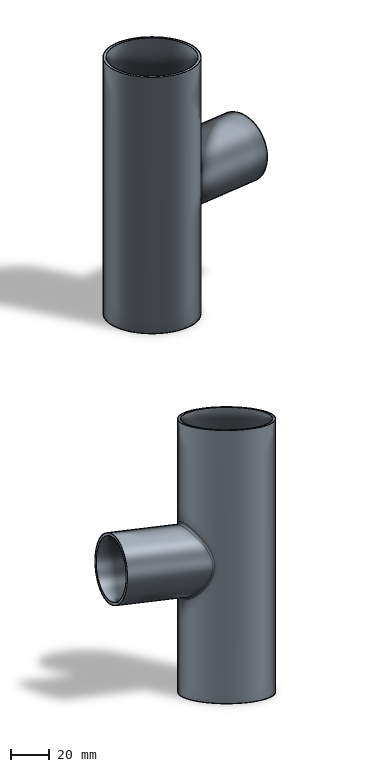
import cadquery as cq

run_length = 146.0
run_diameter = 50.8
wall = 1.6

branch_diameter = 38.1
branch_reach = 66.7
junction_fillet = 1.5


def run_cylinder(diameter):
    """Upright cylinder spanning the full length of the main tube."""
    return cq.Workplane("XY").circle(diameter / 2).extrude(run_length / 2, both=True)


def branch_cylinder(diameter):
    """Cylinder from the main tube axis to the open end of the branch."""
    return cq.Workplane("XZ").circle(diameter / 2).extrude(-branch_reach)


outer = run_cylinder(run_diameter).union(branch_cylinder(branch_diameter))
junction_zone = cq.selectors.BoxSelector(
    (-run_diameter / 2, run_diameter / 4, -branch_diameter / 2),
    (run_diameter / 2, run_diameter / 2, branch_diameter / 2),
)
outer = outer.edges(junction_zone).fillet(junction_fillet)

run_bore = run_cylinder(run_diameter - 2 * wall)
branch_bore = branch_cylinder(branch_diameter - 2 * wall)
result = outer.cut(run_bore).cut(branch_bore)